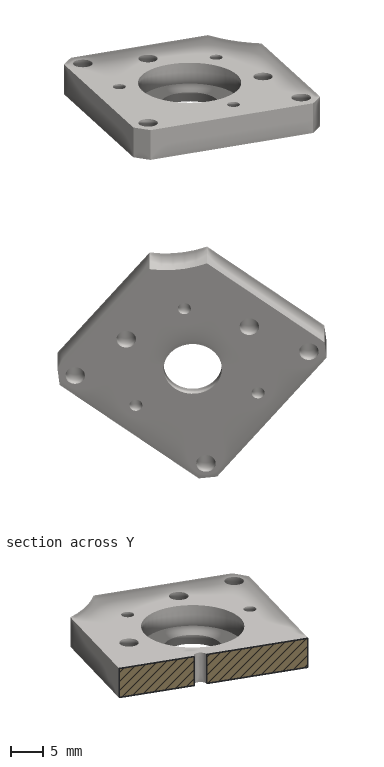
import cadquery as cq
import math

side = 31.4
thickness = 5.0
half = side / 2
corner_chamfer = 2.0

relief_leg = 6.3
relief_sag = 0.6

bore_x = 0.7
bore_y = -bore_x
bore_diameter = 9.0
counterbore_diameter = 16.0
counterbore_depth = 3.5

mount_diameter = 3.0
mount_offset = 12.88
small_diameter = 2.0
small_circle_radius = 11
small_start_angle = 15
small_count = 3
pair_diameter = 3.0
pair_circle_radius = 11.62
pair_axis_angle = 135
pair_half_angle = 55.6


def around_bore(radius, angle):
    """Point at a polar position measured from the bore centre."""
    turn = math.radians(angle)
    return (bore_x + radius * math.cos(turn), bore_y + radius * math.sin(turn))


def make_plate():
    """Plate with three chamfered corners and one concave arc corner."""
    inner = half - corner_chamfer
    relief_start = half - relief_leg
    arc_middle = half - relief_leg / 2 - relief_sag / math.sqrt(2)
    return (
        cq.Workplane("XY")
        .moveTo(-half, relief_start)
        .lineTo(-half, -inner)
        .lineTo(-inner, -half)
        .lineTo(inner, -half)
        .lineTo(half, -inner)
        .lineTo(half, inner)
        .lineTo(inner, half)
        .lineTo(-relief_start, half)
        .threePointArc((-arc_middle, arc_middle), (-half, relief_start))
        .close()
        .extrude(thickness)
    )


def drill(body, points, diameter):
    """Cut round holes through the full thickness."""
    cutters = cq.Workplane("XY").pushPoints(points).circle(diameter / 2).extrude(thickness)
    return body.cut(cutters)


plate = make_plate()

plate = drill(plate, [(bore_x, bore_y)], bore_diameter)
counterbore = (
    cq.Workplane("XY", origin=(bore_x, bore_y, thickness - counterbore_depth))
    .circle(counterbore_diameter / 2)
    .extrude(counterbore_depth)
)
plate = plate.cut(counterbore)

mount_points = [
    (-mount_offset, -mount_offset),
    (mount_offset, -mount_offset),
    (mount_offset, mount_offset),
]
plate = drill(plate, mount_points, mount_diameter)

small_points = [
    around_bore(small_circle_radius, small_start_angle + i * 360 / small_count)
    for i in range(small_count)
]
plate = drill(plate, small_points, small_diameter)

pair_points = [
    around_bore(pair_circle_radius, pair_axis_angle + sign * pair_half_angle)
    for sign in (-1, 1)
]
plate = drill(plate, pair_points, pair_diameter)

result = plate